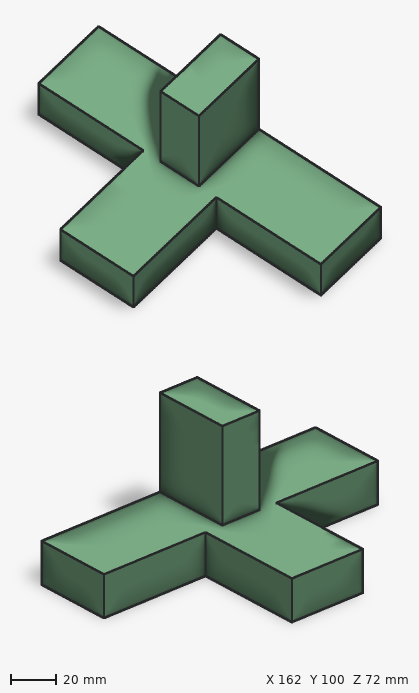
import cadquery as cq

bar_length = 162.0
overall_depth = 100.0
overall_height = 72.0
arm_width = 42.0
arm_thickness = 22.0



def block(length_x, depth_y, height_z):
    """Box centred on X, reaching forward from the back face and up from the underside."""
    return cq.Workplane("XY").box(length_x, depth_y, height_z, centered=(True, False, False)).translate(
        (0, -depth_y, 0)
    )


crossbar = block(bar_length, arm_width, arm_thickness)
stem = block(arm_width, overall_depth, arm_thickness)
upright = block(arm_thickness, arm_width, overall_height)

result = crossbar.union(stem).union(upright).clean()